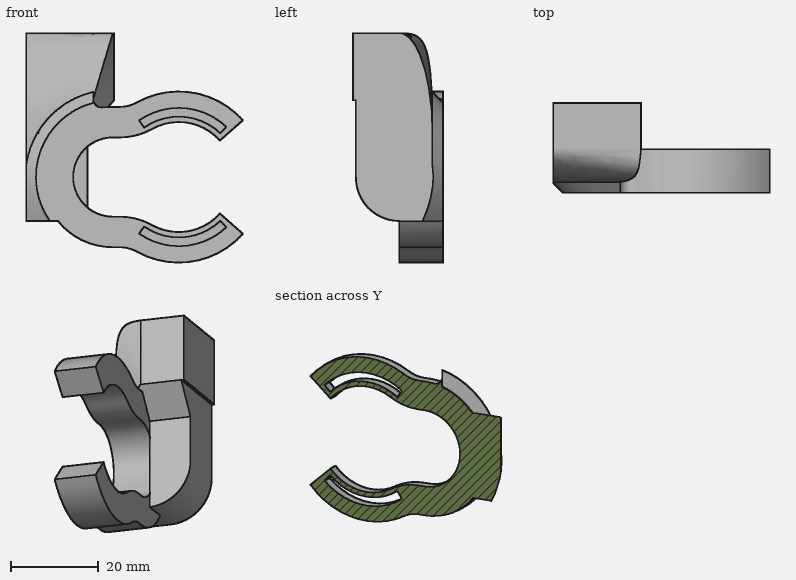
import cadquery as cq
import math


clip_depth = 10.0
wall = 7.0
bore_radius = 9.0
bore_x = 19.7
ring_radius = bore_radius + wall
arm_radius = 12.5
arm_outer_radius = arm_radius + wall
arm_x = 34.8
arm_end_angle = math.radians(41.5)
bend_radius = 8.0

slot_inner_radius = 13.75
slot_outer_radius = 15.75
slot_start_angle = 46.5
slot_end_angle = 125
slot_depth = 9.0

overall_height = 52.3
block_width = 20.05
block_depth = 20.5
block_front = 2.4
block_top = overall_height - arm_outer_radius
block_bottom = -10.05
back_step = 0.65
back_step_z = 17.45
bottom_round = 10.0
lower_width = 14.0
shoulder_z = 10.45
front_curve_bottom = 10.0
left_front_reach = (0.41, 0.78, 0.41)
right_front_reach = (0.65, 1, 0.5)
corner_top_x = 19.3

skirt_radius = 17.45
skirt_end_x = 15.25
skirt_fillet = 2.0
fillet_x = skirt_end_x + skirt_fillet
fillet_z = math.sqrt((ring_radius + skirt_fillet) ** 2 - (fillet_x - bore_x) ** 2)


def extrude_y(sketch, start, end):
    """Shift an XZ sketch extrusion so that it fills Y from start to end."""
    return sketch.extrude(start - end).translate((0, start, 0))


def polar(center_x, radius, angle):
    """XZ point at a radius and angle around a center on Z = 0."""
    return (center_x + radius * math.cos(angle), radius * math.sin(angle))


def make_clip():
    """C-shaped clip, built as its upper half and mirrored."""
    bend_z = ring_radius + bend_radius
    bend_x = arm_x - math.sqrt((arm_outer_radius + bend_radius) ** 2 - bend_z**2)
    lean = math.atan2(bend_z, bend_x - arm_x)

    def on_bend(radius, angle):
        return (bend_x + radius * math.cos(angle), bend_z + radius * math.sin(angle))

    down = -math.pi / 2
    bend_mid = (down + lean - math.pi) / 2
    arm_mid = (lean + arm_end_angle) / 2

    def upper_side(ring_r, bend_r, arm_r):
        """Points of one side of the strip, from the ring's crown to the arm's tip."""
        return [
            (bore_x, ring_r),
            on_bend(bend_r, down),
            on_bend(bend_r, bend_mid),
            polar(arm_x, arm_r, lean),
            polar(arm_x, arm_r, arm_mid),
            polar(arm_x, arm_r, arm_end_angle),
        ]

    inner = upper_side(bore_radius, bend_radius + wall, arm_radius)
    outer = upper_side(ring_radius, bend_radius, arm_outer_radius)

    def fill(side):
        """Half plate between one side of the strip and the plane Z = 0."""
        crown, bend_start, bend_middle, bend_end, arm_middle, tip = side
        ring_left = (bore_x - crown[1], 0)
        ring_middle = polar(bore_x, crown[1], math.radians(135))
        sketch = (
            cq.Workplane("XZ")
            .moveTo(*ring_left)
            .threePointArc(ring_middle, crown)
            .lineTo(*bend_start)
            .threePointArc(bend_middle, bend_end)
            .threePointArc(arm_middle, tip)
            .lineTo(arm_x, 0)
            .close()
        )
        return extrude_y(sketch, 0, clip_depth)

    half = fill(outer).cut(fill(inner))
    return half.union(half.mirror("XY"))


def make_slots():
    """Blind curved slots, one in the front of each arm."""
    start = math.radians(slot_start_angle)
    end = math.radians(slot_end_angle)
    middle = (start + end) / 2
    sketch = (
        cq.Workplane("XZ")
        .moveTo(*polar(arm_x, slot_inner_radius, start))
        .threePointArc(polar(arm_x, slot_inner_radius, middle), polar(arm_x, slot_inner_radius, end))
        .lineTo(*polar(arm_x, slot_outer_radius, end))
        .threePointArc(polar(arm_x, slot_outer_radius, middle), polar(arm_x, slot_outer_radius, start))
        .close()
    )
    slot = extrude_y(sketch, 0, slot_depth)
    return slot.union(slot.mirror("XY"))


def side_profile(sketch, front_reach, middle_reach, top_reach):
    """YZ outline of the block; reaches of 0 to 1 set how full its curved upper front is."""
    height = block_top - front_curve_bottom
    depth = clip_depth - block_front
    front_curve = [
        (block_front, front_curve_bottom),
        (block_front, front_curve_bottom + front_reach * height),
        (clip_depth - middle_reach * depth, front_curve_bottom + middle_reach * height),
        (clip_depth - top_reach * depth, block_top),
        (clip_depth, block_top),
    ]
    lower_back = block_depth - back_step
    round_y = lower_back - bottom_round
    round_z = block_bottom + bottom_round
    diagonal = bottom_round * math.sqrt(0.5)
    return (
        sketch.moveTo(clip_depth, block_top)
        .lineTo(block_depth, block_top)
        .lineTo(block_depth, back_step_z)
        .lineTo(lower_back, back_step_z)
        .lineTo(lower_back, round_z)
        .threePointArc((round_y + diagonal, round_z - diagonal), (round_y, block_bottom))
        .lineTo(block_front, block_bottom)
        .lineTo(block_front, front_curve_bottom)
        .bezier(front_curve)
        .close()
    )


def make_cone():
    """45 degree cone around the clip axis, widening from Y = 0 to the back of the clip."""
    sketch = (
        cq.Workplane("XY")
        .moveTo(bore_x, 0)
        .lineTo(bore_x + skirt_radius, 0)
        .lineTo(bore_x + skirt_radius + clip_depth, clip_depth)
        .lineTo(bore_x, clip_depth)
        .close()
    )
    return sketch.revolve(360, (bore_x, 0, 0), (bore_x, 1, 0))


def corner_plan(z, front_x):
    """XY outline of the block at height z, its front corner cut straight from front_x to the clip's back."""
    return (
        cq.Workplane("XY", origin=(0, 0, z))
        .moveTo(0, 0)
        .lineTo(front_x, 0)
        .lineTo(front_x, block_front)
        .lineTo(block_width, clip_depth)
        .lineTo(block_width, block_depth)
        .lineTo(0, block_depth)
        .close()
    )


def make_corner_envelope(low_z):
    """The twisted corner cut widens from the top down to low_z and stays the same below."""
    base = corner_plan(low_z, skirt_end_x).extrude(block_bottom - low_z)
    low = corner_plan(low_z, skirt_end_x).wires().val()
    top = corner_plan(block_top, corner_top_x).wires().val()
    return base.union(cq.Workplane(cq.Solid.makeLoft([low, top], True)))


def make_block(cone):
    """Mounting block: lofted side profile with a narrow lower part and a cut front corner."""
    left = side_profile(cq.Workplane("YZ"), *left_front_reach)
    block = side_profile(left.workplane(offset=block_width), *right_front_reach).loft(ruled=True)

    outline = (
        cq.Workplane("XZ")
        .moveTo(0, block_bottom)
        .lineTo(lower_width, block_bottom)
        .lineTo(lower_width, shoulder_z)
        .lineTo(block_width, back_step_z)
        .lineTo(block_width, block_top)
        .lineTo(0, block_top)
        .close()
    )
    block = block.intersect(extrude_y(outline, 0, block_depth))

    block = block.intersect(make_corner_envelope(fillet_z))

    trim = cq.Workplane("XY").box(block_width, clip_depth, -block_bottom, centered=False)
    trim = trim.translate((0, 0, block_bottom)).cut(cone)
    return block.cut(trim)


def make_skirt(cone):
    """Front cone segment left of the corner, and a concave foot running back along the ring."""
    toward_ring = math.atan2(-fillet_z, bore_x - fillet_x)
    fillet_mid = (toward_ring - math.pi) / 2

    def on_fillet(angle):
        return (fillet_x + skirt_fillet * math.cos(angle), fillet_z + skirt_fillet * math.sin(angle))

    foot_corner = on_fillet(toward_ring)
    foot = (
        cq.Workplane("XZ")
        .moveTo(skirt_end_x, 0)
        .lineTo(foot_corner[0], 0)
        .lineTo(*foot_corner)
        .threePointArc(on_fillet(fillet_mid), (skirt_end_x, fillet_z))
        .close()
    )
    side = cq.Workplane("XY").box(skirt_end_x, block_front, block_top - block_bottom, centered=False)
    side = side.translate((0, 0, block_bottom))
    return cone.intersect(side).union(extrude_y(foot, 0, clip_depth))


cone = make_cone()
bore = extrude_y(cq.Workplane("XZ").center(bore_x, 0).circle(bore_radius), 0, clip_depth)
mount = make_block(cone).union(make_skirt(cone)).cut(bore)
result = make_clip().union(mount).cut(make_slots())